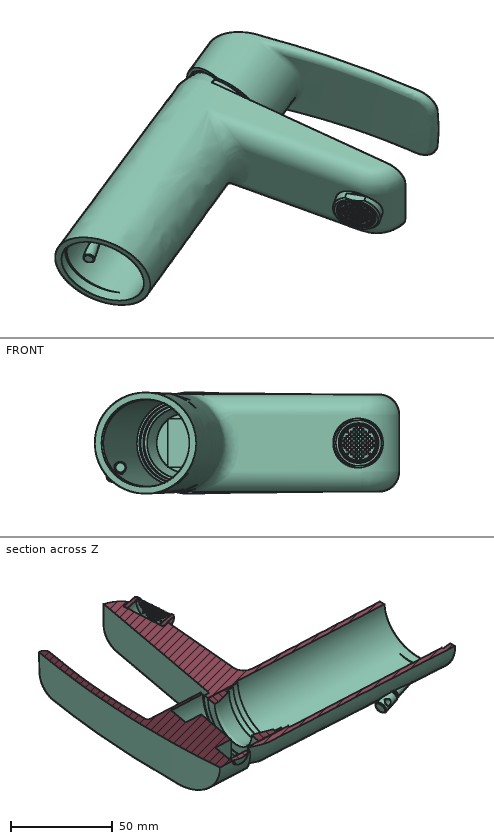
import cadquery as cq
import math

LEAN = 10.0

BASE_R = 25.01
TOP_R = 24.11
TOP_S = 112.7
BORE_R = 21.3
BORE_TOP = 96.9
ENTRY_R = 21.6
ENTRY_DEPTH = 5.3

NECK_R = 23.3
JOINT_S = 115.7
JOINT_BEND_N = -1.7
JOINT_RISE_ANGLE = 20.0
DOME_FRONT_N = -3.3
DOME_MID = (22.8, 117.5)
DOME_TOP = (20.6, 123.2)

SPOUT_HALF = 24.0
SPOUT_ROOT_S = 88.5
SPOUT_BEND = (90.6, 97.3)
SPOUT_TIP_N = 107.3
SPOUT_EDGE_R = 10.0
SPOUT_ROOT_FILLET = 7.0
SPOUT_ROOT_BOX = ((21, 75.1, -24), (45, 94.6, 24))

NUT_R = 20.1
NUT_BOTTOM = 100.7
NUT_LIP_R = 19.0
NUT_CONE_BOTTOM = 104.4
NUT_CONE_R = 17.6
NUT_CONE_TOP = 113.7
NUT_HOLE_R = 14.7

CAP_R = 25.01
CAP_N = 1.0
CAP_WALL = 1.8
CAP_CEILING = 135.2
STEM_SIDE = 24.0
STEM_BOTTOM = 125.5

ARCH_BACK = (-6.0, 144.0)
ARCH_MID = (43.5, 147.0)
ARCH_TIP = (125.1, 140.3)
LOW_BACK = (26.3, 140.5)
LOW_MID = (83.5, 141.4)
LOW_TIP = (124.7, 136.0)
LEVER_BACK_HALF = 24.8
LEVER_TIP_HALF = 23.7
LEVER_TIP_BULGE = 1.8
LEVER_CORNER_R = 10.5
LEVER_EDGE_R = 3.3
LEVER_ROOT_FILLET = 2.3
LEVER_ROOT_BOX = ((37.5, 135.2, -1.5), (60.1, 142.7, 1.5))

PLUG_R = 5.0
PLUG_S = 129.6
PLUG_DEPTH = 2.3
PLUG_RIM = 0.5
PLUG_BULGE = 0.9

AERATOR_BASE = (105.2, 76.2)
AERATOR_TILT = 4.7
AERATOR_R = 12.2
AERATOR_HEIGHT = 9.8
AERATOR_CHAMFER = 0.9
AERATOR_BORE_R = 9.9
FLAT_OFFSET = 11.1
FLAT_HEIGHT = 3.6
FLAT_TURN = -5.0
SCREEN_RECESS = 0.6
SCREEN_THICK = 2.3
SCREEN_PITCH = 2.18
SCREEN_HOLE_R = 0.42
SCREEN_GROOVE_R = 8.5
SCREEN_GROOVE_WIDTH = 0.6
SCREEN_GROOVE_DEPTH = 0.8
SCREEN_RIM = 0.3

PIN_TIP = cq.Vector(-16.0, 45.5, -16.0)
PIN_END = cq.Vector(-12.3, 13.5, -12.0)
PIN_HEAD_R = 3.3
PIN_HEAD_LENGTH = 10.2
PIN_NECK_R = 2.3
PIN_NECK_LENGTH = 0.8
PIN_ROD_R = 2.9
PIN_CHAMFER = 0.5
PIN_EYE_R = 1.8
PIN_EYE_FROM_TIP = 3.6

FAR = 300.5


def lean(shape):
    return shape.rotate((0, 0, 0), (0, 0, 1), -LEAN)


def cylinder(radius, low, high, n=0.0):
    """Upright cylinder centred at n, between two heights."""
    plane = cq.Plane((n, low, 0), (0, 0, 1), (0, 1, 0))
    return cq.Workplane(plane).circle(radius).extrude(high - low)


def below_joint():
    """Upright region under the bent joint between neck and handle."""
    rear_s = JOINT_S + (FAR + JOINT_BEND_N) * math.tan(math.radians(JOINT_RISE_ANGLE))
    outline = [(-FAR, -FAR), (FAR, -FAR), (FAR, JOINT_S), (JOINT_BEND_N, JOINT_S), (-FAR, rear_s)]
    return cq.Workplane("XY").polyline(outline).close().extrude(FAR, both=True)


def make_tube():
    """Tube from a level round base to a top face square to the leaning axis."""
    axis = cq.Vector(math.sin(math.radians(LEAN)), math.cos(math.radians(LEAN)), 0)
    base_plane = cq.Plane((0, 0, 0), (0, 0, 1), (0, 1, 0))
    top_plane = cq.Plane(axis * TOP_S, (0, 0, 1), axis)
    base = cq.Wire.assembleEdges(cq.Workplane(base_plane).circle(BASE_R).edges().vals())
    top = cq.Wire.assembleEdges(cq.Workplane(top_plane).circle(TOP_R).edges().vals())
    return cq.Workplane(cq.Solid.makeLoft([base, top], True))


def make_spout():
    slab = (
        cq.Workplane("XY")
        .moveTo(0, TOP_S)
        .lineTo(0, SPOUT_ROOT_S)
        .lineTo(*SPOUT_BEND)
        .tangentArcPoint((SPOUT_TIP_N, TOP_S), relative=False)
        .close()
        .extrude(SPOUT_HALF, both=True)
    )
    lower_edges = slab.faces("<Z or >Z").edges("not(<X)").edges("not(>Y)")
    return lean(lower_edges.fillet(SPOUT_EDGE_R))


def make_neck():
    """Plain ring in front and a taller dome behind, cut off at the joint."""
    dome = (
        cq.Workplane("XY")
        .moveTo(0, TOP_S)
        .lineTo(TOP_R, TOP_S)
        .threePointArc(DOME_MID, DOME_TOP)
        .lineTo(0, DOME_TOP[1])
        .close()
        .revolve(360, (0, 0, 0), (0, 1, 0))
    )
    rear = cq.Workplane("XY").box(FAR, FAR, FAR).translate((DOME_FRONT_N - FAR / 2, 0, 0))
    neck = cylinder(NECK_R, TOP_S, JOINT_S).union(dome.intersect(rear))
    return lean(neck.intersect(below_joint()))


def make_body():
    body = make_tube().union(make_spout())
    body = body.edges(cq.selectors.BoxSelector(*SPOUT_ROOT_BOX)).fillet(SPOUT_ROOT_FILLET)
    body = body.union(make_neck())
    nut_bore = cylinder(NUT_R, BORE_TOP, FAR)
    bore = cylinder(BORE_R, -BORE_R, BORE_TOP).union(nut_bore)
    body = body.cut(lean(bore)).cut(cylinder(ENTRY_R, 0, ENTRY_DEPTH))
    aerator_seat = place_aerator(cylinder(AERATOR_R, 0, AERATOR_HEIGHT))
    return body.cut(aerator_seat).cut(make_pin_blank())


def make_nut():
    half_section = [
        (NUT_LIP_R, NUT_BOTTOM),
        (NUT_R, NUT_BOTTOM),
        (NUT_R, JOINT_S),
        (NUT_HOLE_R, JOINT_S),
        (NUT_HOLE_R, NUT_CONE_TOP),
        (NUT_CONE_R, NUT_CONE_BOTTOM),
        (NUT_LIP_R, NUT_CONE_BOTTOM),
    ]
    return lean(cq.Workplane("XY").polyline(half_section).close().revolve(360, (0, 0, 0), (0, 1, 0)))


def make_lever():
    profile = (
        cq.Workplane("XY")
        .moveTo(*ARCH_BACK)
        .threePointArc(ARCH_MID, ARCH_TIP)
        .lineTo(*LOW_TIP)
        .threePointArc(LOW_MID, LOW_BACK)
        .close()
        .extrude(FAR, both=True)
    )
    back_x = LOW_BACK[0]
    corner_x = ARCH_TIP[0] - LEVER_TIP_BULGE
    plan = (
        cq.Workplane("XZ")
        .moveTo(back_x, -LEVER_BACK_HALF)
        .lineTo(corner_x, -LEVER_TIP_HALF)
        .threePointArc((ARCH_TIP[0], 0), (corner_x, LEVER_TIP_HALF))
        .lineTo(back_x, LEVER_BACK_HALF)
        .close()
        .extrude(-FAR)
    )
    plan = plan.edges("|Y").edges(">X").fillet(LEVER_CORNER_R)
    lever = profile.intersect(plan)
    underside = lever.faces(cq.selectors.NearestToPointSelector((*LOW_MID, 0)))
    return underside.edges("not(<X)").fillet(LEVER_EDGE_R)


def make_cap():
    under_arch = (
        cq.Workplane("XY")
        .moveTo(*ARCH_BACK)
        .threePointArc(ARCH_MID, ARCH_TIP)
        .lineTo(ARCH_TIP[0], 0)
        .lineTo(ARCH_BACK[0], 0)
        .close()
        .extrude(FAR, both=True)
    )
    cap = cylinder(CAP_R, JOINT_S, FAR, CAP_N).cut(below_joint())
    return lean(cap).intersect(under_arch)


def make_handle():
    handle = make_cap().union(make_lever())
    handle = handle.edges(cq.selectors.BoxSelector(*LEVER_ROOT_BOX)).fillet(LEVER_ROOT_FILLET)
    hollow = cylinder(CAP_R - CAP_WALL, JOINT_S, CAP_CEILING, CAP_N)
    stem_height = CAP_CEILING - STEM_BOTTOM
    stem = (
        cq.Workplane("XY")
        .box(STEM_SIDE, stem_height, STEM_SIDE)
        .translate((CAP_N, STEM_BOTTOM + stem_height / 2, 0))
    )
    return handle.cut(lean(hollow.cut(stem))).cut(make_plug())


def make_plug():
    cap_back = CAP_N - CAP_R
    dome_height = PLUG_RIM + PLUG_BULGE
    dome_r = (PLUG_R**2 + dome_height**2) / (2 * dome_height)
    profile = (
        cq.Workplane("XY")
        .moveTo(cap_back + PLUG_DEPTH, PLUG_S)
        .lineTo(cap_back + PLUG_DEPTH, PLUG_S + PLUG_R)
        .lineTo(cap_back + PLUG_RIM, PLUG_S + PLUG_R)
        .radiusArc((cap_back - PLUG_BULGE, PLUG_S), -dome_r)
        .close()
    )
    return lean(profile.revolve(360, (0, PLUG_S, 0), (1, PLUG_S, 0)))


def place_aerator(shape):
    return shape.rotate((0, 0, 0), (0, 0, 1), AERATOR_TILT).translate((*AERATOR_BASE, 0))


def make_aerator_shell():
    shell = cylinder(AERATOR_R, 0, AERATOR_HEIGHT).faces("<Y").edges().chamfer(AERATOR_CHAMFER)
    shell = shell.cut(cylinder(AERATOR_BORE_R, 0, AERATOR_HEIGHT))
    for side in (-1, 1):
        flat_cut = cq.Workplane("XY").box(2 * AERATOR_R, 2 * FLAT_HEIGHT, AERATOR_R)
        flat_cut = flat_cut.translate((0, 0, side * (FLAT_OFFSET + AERATOR_R / 2)))
        shell = shell.cut(flat_cut.rotate((0, 0, 0), (0, 1, 0), FLAT_TURN))
    return place_aerator(shell)


def make_aerator_screen():
    """Disc with an edge groove, pierced by staggered rows of holes."""
    reach = SCREEN_GROOVE_R - SCREEN_RIM - SCREEN_HOLE_R
    half_pitch = SCREEN_PITCH / 2
    steps = int(reach / half_pitch)
    centers = [
        (i * half_pitch, j * half_pitch)
        for i in range(-steps, steps + 1)
        for j in range(-steps, steps + 1)
        if (i + j) % 2 == 0 and math.hypot(i, j) * half_pitch <= reach
    ]
    face_y = SCREEN_RECESS
    screen = cylinder(AERATOR_BORE_R, face_y, face_y + SCREEN_THICK)
    screen = screen.faces("<Y").workplane().pushPoints(centers).circle(SCREEN_HOLE_R).cutThruAll()
    groove = cylinder(SCREEN_GROOVE_R + SCREEN_GROOVE_WIDTH, face_y, face_y + SCREEN_GROOVE_DEPTH)
    groove = groove.cut(cylinder(SCREEN_GROOVE_R, face_y, face_y + SCREEN_GROOVE_DEPTH))
    return place_aerator(screen.cut(groove))


def pin_cylinder(radius, start, end):
    """Cylinder on the pin axis, between two distances from the pin tip."""
    along = (PIN_END - PIN_TIP).normalized()
    plane = cq.Plane(PIN_TIP + along * start, (0, 0, 1), along)
    return cq.Workplane(plane).circle(radius).extrude(end - start)


def make_pin_blank():
    length = (PIN_END - PIN_TIP).Length
    neck_end = PIN_HEAD_LENGTH + PIN_NECK_LENGTH
    head = pin_cylinder(PIN_HEAD_R, 0, PIN_HEAD_LENGTH).edges().chamfer(PIN_CHAMFER)
    neck = pin_cylinder(PIN_NECK_R, PIN_HEAD_LENGTH, neck_end)
    rod = pin_cylinder(PIN_ROD_R, neck_end, length).edges().chamfer(PIN_CHAMFER)
    return head.union(neck).union(rod)


def make_pin():
    """Pin with a round eye across its head."""
    along = (PIN_END - PIN_TIP).normalized()
    eye_plane = cq.Plane(PIN_TIP + along * PIN_EYE_FROM_TIP, (0, 1, 0), (-1, 0, 1))
    eye = cq.Workplane(eye_plane).circle(PIN_EYE_R).extrude(2 * PIN_HEAD_R, both=True)
    return make_pin_blank().cut(eye)


body = make_body()
nut = make_nut()
handle = make_handle()
plug = make_plug()
aerator_shell = make_aerator_shell()
aerator_screen = make_aerator_screen()
pin = make_pin()

result = cq.Compound.makeCompound([
    body.val(),
    nut.val(),
    handle.val(),
    plug.val(),
    aerator_shell.val(),
    aerator_screen.val(),
    pin.val(),
])